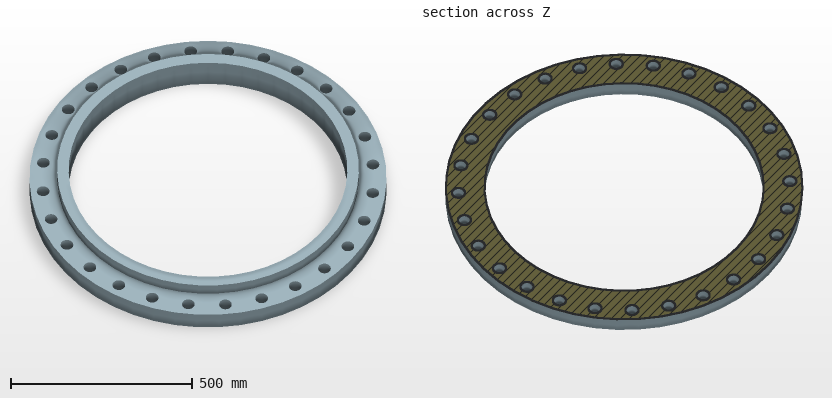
import cadquery as cq

INCH = 25.4

flange_diameter = 38.75 * INCH
flange_thickness = 2.125 * INCH
hub_diameter = 32.75 * INCH
hub_height = 3.5 * INCH
bore_diameter = 30.25 * INCH
face_diameter = 33.75 * INCH
face_height = 0.0625 * INCH

bolt_count = 28
bolt_circle_diameter = 36.0 * INCH
bolt_hole_diameter = 1.375 * INCH


def disc(diameter, bottom, height):
    """Solid disc on the Z axis, standing on the plane z = bottom."""
    return cq.Workplane("XY").workplane(offset=bottom).circle(diameter / 2).extrude(height)


def make_body():
    """Raised face, flange plate and hub, stacked upward from z = 0."""
    face = disc(face_diameter, 0, face_height)
    plate = disc(flange_diameter, face_height, flange_thickness)
    hub = disc(hub_diameter, face_height, hub_height)
    return face.union(plate).union(hub)


def make_bolt_holes():
    """Through holes evenly spaced on the bolt circle, one of them on the +X axis."""
    return (
        cq.Workplane("XY")
        .polarArray(bolt_circle_diameter / 2, 0, 360, bolt_count)
        .circle(bolt_hole_diameter / 2)
        .extrude(face_height + flange_thickness)
    )


def make_bore():
    """Straight bore through the full height of the flange."""
    return disc(bore_diameter, 0, face_height + hub_height)


result = make_body().cut(make_bore()).cut(make_bolt_holes())